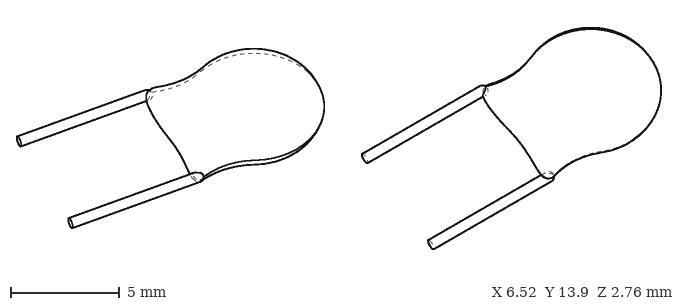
import cadquery as cq
import math

head_radius = 3.26
half_thickness = 1.38
rim_width = 1.73
waist_half_width = 2.66
waist_y = -2.77
base_top_y = -3.9
base_radius = 7.75
base_fillet = 0.33
lead_radius = 0.25
lead_spacing = 5.5
lead_top_y = -3.9
lead_length = 6.77
lead_end_y = lead_top_y - lead_length

rim_radius = (rim_width**2 + half_thickness**2) / (2 * half_thickness)
rim_sweep = math.asin(rim_width / rim_radius)
rim_mid_width = rim_radius * math.sin(rim_sweep / 2)
rim_mid_z = half_thickness - rim_radius * (1 - math.cos(rim_sweep / 2))

waist_inset = head_radius - waist_half_width
neck_radius = (waist_half_width**2 + waist_y**2 - head_radius**2) / (2 * waist_inset)
neck_center_x = waist_half_width + neck_radius
seam_angle = math.degrees(math.atan2(-waist_y, neck_center_x))
base_center_y = base_top_y - base_radius


def rim_section(ridge_radius, outward):
    """Half section in XZ from the Z axis to the ridge; outward is 1 for a convex rim, -1 for a hollow one."""
    flat_radius = ridge_radius - outward * rim_width
    mid_radius = flat_radius + outward * rim_mid_width
    return (
        cq.Workplane("XZ")
        .moveTo(0, -half_thickness)
        .lineTo(flat_radius, -half_thickness)
        .threePointArc((mid_radius, -rim_mid_z), (ridge_radius, 0))
        .threePointArc((mid_radius, rim_mid_z), (flat_radius, half_thickness))
        .lineTo(0, half_thickness)
        .close()
    )


def make_head():
    """Round head, turned about Z from one seam with the neck to the other."""
    sector_angle = 180 + 2 * seam_angle
    sector = rim_section(head_radius, 1).revolve(sector_angle, (0, 0), (0, 1))
    return sector.rotate((0, 0, 0), (0, 0, 1), -seam_angle)


def make_neck():
    """Waisted neck between two hollow flanks, closed by the hollow base face."""
    block = (
        cq.Workplane("XY")
        .polyline([
            (0, 0),
            (-neck_center_x, waist_y),
            (0, base_center_y),
            (neck_center_x, waist_y),
        ])
        .close()
        .extrude(half_thickness, both=True)
    )
    flank = rim_section(neck_radius, -1).revolve(360, (0, 0), (0, 1))
    for side in (-1, 1):
        block = block.cut(flank.translate((side * neck_center_x, waist_y, 0)))
    base = (
        cq.Workplane("XY")
        .center(0, base_center_y)
        .circle(base_radius)
        .extrude(half_thickness, both=True)
    )
    return block.cut(base)


def make_lead(side):
    """Straight round lead along Y with a hemispherical end against the body."""
    return (
        cq.Workplane("XY")
        .moveTo(0, lead_end_y)
        .lineTo(lead_radius, lead_end_y)
        .lineTo(lead_radius, lead_top_y - lead_radius)
        .radiusArc((0, lead_top_y), -lead_radius)
        .close()
        .revolve(360, (0, 0), (0, 1))
        .translate((side * lead_spacing / 2, 0, 0))
    )


def make_body(leads):
    """Coated body with a rounded base rim and a pocket around each lead end."""
    body = make_head().union(make_neck())
    base_edges = cq.selectors.BoxSelector(
        (-head_radius, base_center_y, -2 * half_thickness),
        (head_radius, base_top_y + base_fillet, 2 * half_thickness),
    )
    body = body.edges(base_edges).fillet(base_fillet)
    for lead in leads:
        body = body.cut(lead)
    return body


leads = [make_lead(side) for side in (-1, 1)]
body = make_body(leads)

result = cq.Compound.makeCompound([body.val(), *[lead.val() for lead in leads]])